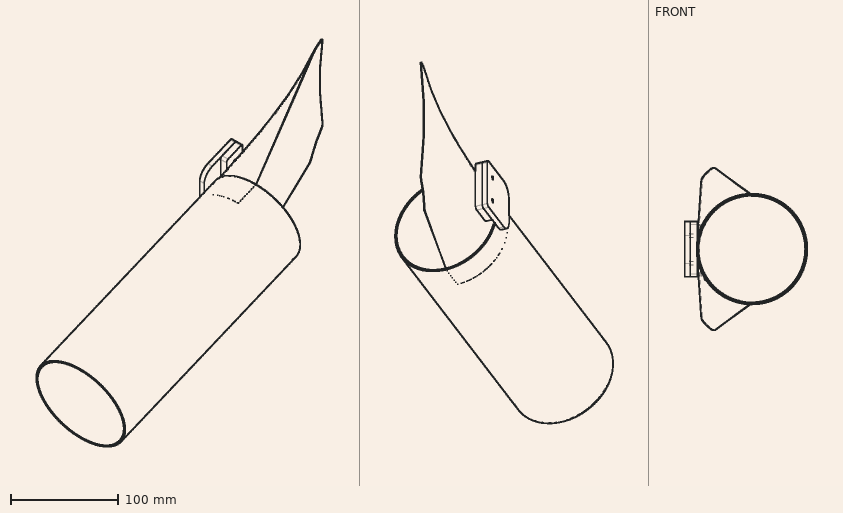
import cadquery as cq
import math


total_length = 443.0
tube_length = 274.5
tube_radius = 103.5 / 2
bore_radius = 101.5 / 2
core_radius = 99.5 / 2

sleeve_depth = 27.5
sheet = bore_radius - core_radius
tip_edge_x = -45.0
shoulder_y = 408.5
shoulder_half_width = 76.5
tip_half_width = 65.5
shoulder_round = 26.5
tip_round = 5.5
rim_clearance = 0.1
section_count = 5

total_width = 114.5
plate_outer_x = total_width - tube_radius
plate_thickness = 5.5
plate_back_y = 322.5
plate_length = 51.0
plate_width = 52.0
plate_front_round = 13.0
small_round = 2.5
spacer_length = 25.2

pin_radius = 3.2 / 2
plate_hole_radius = 3.5 / 2
pin_spacing = 25.5
pin_inset = 12.5


def make_tube():
    """Thin tube, open at both ends."""
    ring = cq.Workplane("XZ").circle(tube_radius).circle(bore_radius)
    return ring.extrude(-tube_length)


def make_core():
    """Solid cylinder, as long as the tube and inside its bore."""
    return cq.Workplane("XZ").circle(core_radius).extrude(-tube_length)


def scoop_section(y):
    """Centre X, radius and half angle of the outer arc of the scoop at one Y."""
    edge_x = tip_edge_x * (y - tube_length) / (total_length - tube_length)
    flare = (shoulder_half_width - bore_radius) / (shoulder_y - tube_length)
    half_width = bore_radius + flare * (y - tube_length)
    sag = bore_radius + edge_x
    radius = (half_width**2 + sag**2) / (2 * sag)
    return radius - bore_radius, radius, math.asin(half_width / radius)


def arc_points(center_x, radius, half_angle):
    """Upper end, middle and lower end of an arc that bulges toward -X."""
    end_x = center_x - radius * math.cos(half_angle)
    end_z = radius * math.sin(half_angle)
    return (end_x, end_z), (center_x - radius, 0), (end_x, -end_z)


def sheet_wire(y):
    """Closed outline of the thin scoop sheet."""
    center_x, radius, half_angle = scoop_section(y)
    top, middle, bottom = arc_points(center_x, radius, half_angle)
    in_top, in_middle, in_bottom = arc_points(center_x, radius - sheet, half_angle)
    outline = cq.Workplane("XZ", origin=(0, y, 0)).moveTo(*top).threePointArc(middle, bottom)
    outline = outline.lineTo(*in_bottom).threePointArc(in_middle, in_top).close()
    return outline.val()


def make_blade():
    """Flared sheet from the tube mouth to the tip, with square corners."""
    step = (total_length - tube_length) / (section_count - 1)
    wires = [sheet_wire(tube_length + i * step) for i in range(section_count)]
    return cq.Workplane(cq.Solid.makeLoft(wires))


def tip_outline():
    """Prism along X with the scoop's side outline: flared sides and oblique, rounded tip corners."""
    outline = cq.Workplane("YZ").polyline([
        (tube_length, -bore_radius - rim_clearance),
        (shoulder_y, -shoulder_half_width - rim_clearance),
        (total_length, -tip_half_width),
        (total_length, tip_half_width),
        (shoulder_y, shoulder_half_width + rim_clearance),
        (tube_length, bore_radius + rim_clearance),
    ]).close().extrude(tube_radius * 2, both=True)
    outline = outline.edges("|X and >Y").fillet(tip_round)
    shoulder_zone = cq.selectors.BoxSelector(
        (-total_length, shoulder_y - small_round, -total_length),
        (total_length, shoulder_y + small_round, total_length),
    )
    return outline.edges("|X").edges(shoulder_zone).fillet(shoulder_round)


def make_scoop():
    """Flared sheet with a half sleeve that fits between tube and core."""
    blade = make_blade().intersect(tip_outline())
    sleeve = cq.Workplane("XZ", origin=(0, tube_length, 0)).circle(bore_radius).circle(core_radius)
    sleeve = sleeve.extrude(sleeve_depth)
    open_half = cq.Workplane().box(
        tube_radius, total_length * 2, tube_radius * 2, centered=(False, True, True))
    return sleeve.cut(open_half).union(blade)


def clip_slab(length, outer_x, thickness):
    """Slab square to X, flush with the back of the clip plate."""
    slab = cq.Workplane().box(thickness, length, plate_width, centered=(False, False, True))
    return slab.translate((outer_x, plate_back_y - length, 0))


def pin_rods(radius):
    """Two rods along X, from the outer face of the clip plate to the back of the scoop."""
    rods = cq.Workplane("YZ", origin=(-plate_outer_x, 0, 0))
    rods = rods.pushPoints([(plate_back_y - pin_inset, side * pin_spacing / 2) for side in (1, -1)])
    return rods.circle(radius).extrude(plate_outer_x - bore_radius, combine=False)


def make_clip_plate():
    """Plate with two clearance holes and a well-rounded front end."""
    plate = clip_slab(plate_length, -plate_outer_x, plate_thickness)
    plate = plate.edges("|X and <Y").fillet(plate_front_round)
    plate = plate.edges("|X and >Y").fillet(small_round)
    return plate.cut(pin_rods(plate_hole_radius))


def make_spacer():
    """Block that fills the space between the plate and the back of the scoop."""
    outer_x = -plate_outer_x + plate_thickness
    spacer = clip_slab(spacer_length, outer_x, -bore_radius - outer_x)
    spacer = spacer.edges("|X").fillet(small_round)
    return spacer.cut(pin_rods(pin_radius))


def make_pins():
    """One pin per hole, a tight fit in the spacer."""
    return pin_rods(pin_radius).solids()


tube = make_tube()
core = make_core()
scoop = make_scoop()
clip_plate = make_clip_plate()
spacer = make_spacer()
pins = make_pins()

result = cq.Compound.makeCompound([
    tube.val(),
    core.val(),
    scoop.solids().val(),
    clip_plate.solids().val(),
    spacer.solids().val(),
    *pins.vals(),
])